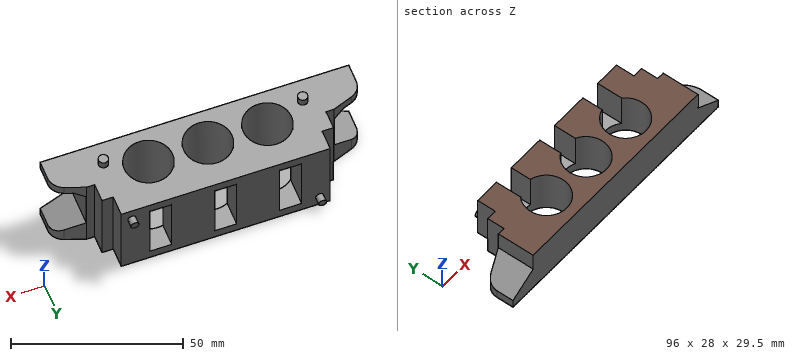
import cadquery as cq
import math

BODY_LENGTH = 96.0
BODY_DEPTH = 25.5
BODY_HEIGHT = 27.0

REAR_STEP_LENGTH = 65.0
MIDDLE_STEP_LENGTH = 72.0
MIDDLE_STEP_Y = 19.0
WING_Y = 13.0
WING_FLAT_LENGTH = 77.0
WING_SLOPE_DEG = 20.0
WING_CORNER_RADIUS = 5.0

FLANGE_THICKNESS = 3.1
RECESS_DEPTH = 9.4
RECESS_SLOPE_DEG = 30.0
UPPER_SLOPE_RISE = 1.9

BORE_COUNT = 3
BORE_DIAMETER = 15.0
BORE_PITCH = 18.5
BORE_Y = 11.0

WINDOW_WIDTH = 6.8
WINDOW_HEIGHT = 20.5
WINDOW_PITCH = 20.2

PIN_LENGTH = 2.5
TOP_PIN_DIAMETER = 3.0
TOP_PIN_SPACING = 62.0
TOP_PIN_Y = 7.0
REAR_PIN_DIAMETER = 2.5
REAR_PIN_SPACING_X = 58.4
REAR_PIN_SPACING_Z = 19.0


def centred_positions(count, pitch):
    """Evenly spaced positions, centred on zero."""
    return [(i - (count - 1) / 2) * pitch for i in range(count)]


def make_body():
    """Stepped block with sloping wings and rounded wing corners."""
    half_length = BODY_LENGTH / 2
    half_flat = WING_FLAT_LENGTH / 2
    wing_drop = (half_length - half_flat) * math.tan(math.radians(WING_SLOPE_DEG))
    wing_corner_y = WING_Y - wing_drop
    right_side = [
        (half_length, 0),
        (half_length, wing_corner_y),
        (half_flat, WING_Y),
        (MIDDLE_STEP_LENGTH / 2, WING_Y),
        (MIDDLE_STEP_LENGTH / 2, MIDDLE_STEP_Y),
        (REAR_STEP_LENGTH / 2, MIDDLE_STEP_Y),
        (REAR_STEP_LENGTH / 2, BODY_DEPTH),
    ]
    left_side = [(-x, y) for x, y in reversed(right_side)]
    block = cq.Workplane("XY").polyline(right_side + left_side).close().extrude(BODY_HEIGHT)
    for x in (-half_length, half_length):
        corner = cq.selectors.NearestToPointSelector((x, wing_corner_y, BODY_HEIGHT / 2))
        block = block.edges(corner).fillet(WING_CORNER_RADIUS)
    return block


def make_end_recess(side):
    """Recess cutter for one end; side is -1 or +1 along X."""
    slope = math.tan(math.radians(RECESS_SLOPE_DEG))
    outer_x = BODY_LENGTH / 2
    inner_x = outer_x - RECESS_DEPTH
    flange_under_z = BODY_HEIGHT - FLANGE_THICKNESS
    profile = [
        (outer_x, FLANGE_THICKNESS),
        (inner_x, FLANGE_THICKNESS + RECESS_DEPTH * slope),
        (inner_x, flange_under_z - UPPER_SLOPE_RISE),
        (inner_x + UPPER_SLOPE_RISE / slope, flange_under_z),
        (outer_x, flange_under_z),
    ]
    points = [(side * x, z) for x, z in profile]
    return cq.Workplane("XZ").polyline(points).close().extrude(-WING_Y)


def make_bores():
    """Row of vertical bores through the full height."""
    centres = [(x, BORE_Y) for x in centred_positions(BORE_COUNT, BORE_PITCH)]
    return cq.Workplane("XY").pushPoints(centres).circle(BORE_DIAMETER / 2).extrude(BODY_HEIGHT)


def make_windows():
    """Rectangular openings from the bores out through the rear face."""
    centres = [(x, BODY_HEIGHT / 2) for x in centred_positions(BORE_COUNT, WINDOW_PITCH)]
    return (
        cq.Workplane("XZ", origin=(0, BORE_Y, 0))
        .pushPoints(centres)
        .rect(WINDOW_WIDTH, WINDOW_HEIGHT)
        .extrude(-(BODY_DEPTH - BORE_Y))
    )


def make_top_pins():
    """Pair of pins standing on the top face."""
    centres = [(x, TOP_PIN_Y) for x in centred_positions(2, TOP_PIN_SPACING)]
    return (
        cq.Workplane("XY", origin=(0, 0, BODY_HEIGHT))
        .pushPoints(centres)
        .circle(TOP_PIN_DIAMETER / 2)
        .extrude(PIN_LENGTH)
    )


def make_rear_pins():
    """Diagonal pair of pins on the rear face: low at -X, high at +X."""
    x_positions = centred_positions(2, REAR_PIN_SPACING_X)
    z_offsets = centred_positions(2, REAR_PIN_SPACING_Z)
    centres = [(x, BODY_HEIGHT / 2 + z) for x, z in zip(x_positions, z_offsets)]
    return (
        cq.Workplane("XZ", origin=(0, BODY_DEPTH, 0))
        .pushPoints(centres)
        .circle(REAR_PIN_DIAMETER / 2)
        .extrude(-PIN_LENGTH)
    )


result = make_body()
for end in (-1, 1):
    result = result.cut(make_end_recess(end))
result = result.cut(make_bores()).cut(make_windows())
result = result.union(make_top_pins()).union(make_rear_pins())